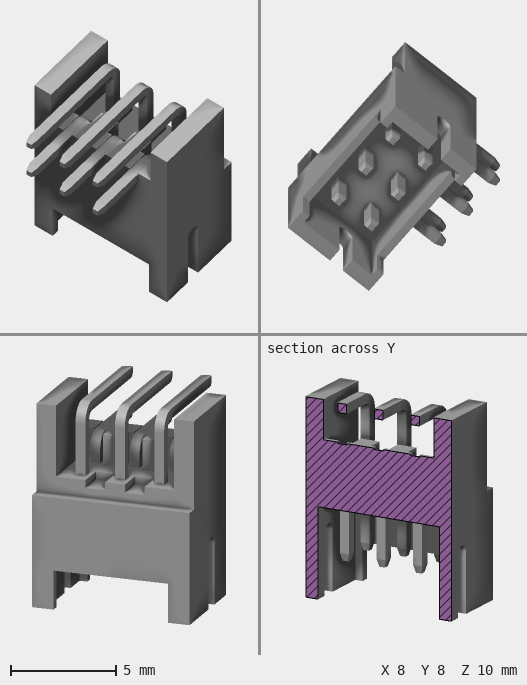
import cadquery as cq

WIDTH = 8.0
DEPTH = 5.0
HEIGHT = 10.0

SHELF_Z = 5.6
SHELF_DEPTH = 0.6
UPPER_BACK_Y = DEPTH - SHELF_DEPTH
EAR_WIDTH = 1.0
DECK_Z = 8.0
STRIP_DEPTH = 1.18
POCKET_Z = 6.45
TONGUE_WIDTH = 1.0
TONGUE_END_Y = 2.0
RECESS_START_Y = 3.0
RECESS_DEPTH = 0.4

SIDE_WALL = 0.7
END_WALL = 0.4
CAVITY_TOP_Z = 4.6
NOTCH_WIDTH = 5.8
NOTCH_HEIGHT = 1.95
SLOT_WIDTH = 0.8
SLOT_TOP_Z = 3.5
SLOT_CENTER_Y = 2.0

PIN_COUNT = 3
PIN_PITCH = 2.0
PIN_SIZE = 0.5
PIN_FRONT_Y = -3.0
PIN_BOTTOM_Z = 2.0
PIN_BEND_RADIUS = 0.9
TIP_LENGTH = 0.4
TIP_SIZE = 0.3
LOWER_ROW_Y = 1.5
UPPER_ROW_Y = LOWER_ROW_Y + PIN_PITCH
LOWER_ROW_Z = 7.7
UPPER_ROW_Z = LOWER_ROW_Z + PIN_PITCH


def block(x_center, x_size, y_min, y_max, z_min, z_max):
    """Box centred on x_center and spanning the given Y and Z ranges."""
    box = cq.Workplane("XY").box(x_size, y_max - y_min, z_max - z_min, centered=(True, False, False))
    return box.translate((x_center, y_min, z_min))


def row_positions(count):
    """X positions of items spaced at the pin pitch about the middle."""
    return [(i - (count - 1) / 2) * PIN_PITCH for i in range(count)]


PIN_X = row_positions(PIN_COUNT)
GAP_X = row_positions(PIN_COUNT - 1)


def make_shell():
    """Stepped block with the area between the ears cleared down to the pocket floor."""
    inner_width = WIDTH - 2 * EAR_WIDTH
    shell = block(0, WIDTH, 0, DEPTH, 0, SHELF_Z)
    shell = shell.union(block(0, WIDTH, 0, UPPER_BACK_Y, SHELF_Z, HEIGHT))
    shell = shell.cut(block(0, inner_width, 0, STRIP_DEPTH, DECK_Z, HEIGHT))
    return shell.cut(block(0, inner_width, STRIP_DEPTH, UPPER_BACK_Y, POCKET_Z, HEIGHT))


def add_tongues_and_recesses(body):
    """Between neighbouring pins: a tongue at the front and a shallow recess at the back."""
    for x in GAP_X:
        body = body.union(block(x, TONGUE_WIDTH, STRIP_DEPTH, TONGUE_END_Y, POCKET_Z, DECK_Z))
        recess_z = POCKET_Z - RECESS_DEPTH
        body = body.cut(block(x, TONGUE_WIDTH, RECESS_START_Y, UPPER_BACK_Y, recess_z, POCKET_Z))
    return body


def cut_pin_grooves(body):
    """Open-topped grooves that let the lower pins pass through the front strip."""
    for x in PIN_X:
        body = body.cut(block(x, PIN_SIZE, 0, STRIP_DEPTH, LOWER_ROW_Z, DECK_Z))
    return body


def cut_cavity(body):
    """Mating cavity, open at the bottom, with its wall notches and side slots."""
    cavity_width = WIDTH - 2 * SIDE_WALL
    body = body.cut(block(0, cavity_width, END_WALL, DEPTH - END_WALL, 0, CAVITY_TOP_Z))
    body = body.cut(block(0, NOTCH_WIDTH, 0, DEPTH, 0, NOTCH_HEIGHT))
    slot_radius = SLOT_WIDTH / 2
    slot = (
        cq.Workplane("YZ", origin=(-WIDTH / 2, 0, 0))
        .moveTo(SLOT_CENTER_Y - slot_radius, 0)
        .lineTo(SLOT_CENTER_Y - slot_radius, SLOT_TOP_Z - slot_radius)
        .threePointArc((SLOT_CENTER_Y, SLOT_TOP_Z), (SLOT_CENTER_Y + slot_radius, SLOT_TOP_Z - slot_radius))
        .lineTo(SLOT_CENTER_Y + slot_radius, 0)
        .close()
        .extrude(WIDTH)
    )
    return body.cut(slot)


def make_tip(face_plane):
    """Square taper that finishes one end of a pin."""
    return (
        cq.Workplane(face_plane)
        .rect(PIN_SIZE, PIN_SIZE)
        .workplane(offset=TIP_LENGTH)
        .rect(TIP_SIZE, TIP_SIZE)
        .loft()
    )


def make_pin(x, leg_y, leg_z):
    """Square L-shaped pin with a rounded bend and tapered ends."""
    half = PIN_SIZE / 2
    front_y = PIN_FRONT_Y + TIP_LENGTH
    bottom_z = PIN_BOTTOM_Z + TIP_LENGTH
    inner_radius = PIN_BEND_RADIUS - PIN_SIZE
    horizontal = block(x, PIN_SIZE, front_y, leg_y + half, leg_z - half, leg_z + half)
    vertical = block(x, PIN_SIZE, leg_y - half, leg_y + half, bottom_z, leg_z + half)
    pin = horizontal.union(vertical)
    outer_corner = cq.NearestToPointSelector((x, leg_y + half, leg_z + half))
    inner_corner = cq.NearestToPointSelector((x, leg_y - half, leg_z - half))
    pin = pin.edges(outer_corner).fillet(PIN_BEND_RADIUS)
    pin = pin.edges(inner_corner).fillet(inner_radius)
    front_tip = make_tip(cq.Plane((x, front_y, leg_z), xDir=(1, 0, 0), normal=(0, -1, 0)))
    bottom_tip = make_tip(cq.Plane((x, leg_y, bottom_z), xDir=(1, 0, 0), normal=(0, 0, -1)))
    return pin.union(front_tip).union(bottom_tip)


result = make_shell()
result = add_tongues_and_recesses(result)
result = cut_pin_grooves(result)
result = cut_cavity(result)
for pin_x in PIN_X:
    result = result.union(make_pin(pin_x, LOWER_ROW_Y, LOWER_ROW_Z))
    result = result.union(make_pin(pin_x, UPPER_ROW_Y, UPPER_ROW_Z))